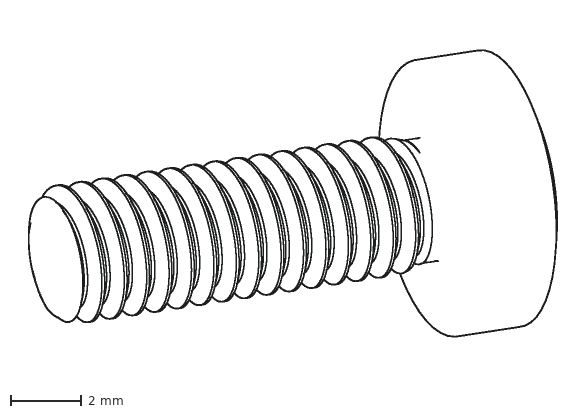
import cadquery as cq
import math

total_length = 15.06
shank_length = 12.02
head_height = total_length - shank_length

head_radius = 8.0 / 2
head_rim_height = 2.03
head_edge_round = 0.06
slot_width = 0.7
slot_depth = 0.2

neck_radius = 1.78
neck_length = 0.71
neck_fillet = 0.2

pitch = 0.7
crest_radius = 2.0
root_radius = 1.57
crest_flat = pitch / 8
flank_angle = math.radians(30)
runout_length = 0.75
tip_radius = 1.72
tip_chamfer_length = 0.42
tip_edge_round = 0.18
tip_cone_height = 0.03
groove_start = 0.25
groove_start_angle = 290.0
groove_overshoot = 0.05


def dome_radius():
    """Sphere radius through the rim edge and the inner corners of the crossed slots."""
    corner_radius = slot_width / math.sqrt(2)
    rise = head_height - head_rim_height
    center = (rise**2 + corner_radius**2 - head_radius**2) / (2 * rise)
    return math.hypot(head_radius, center)


def make_head():
    sphere_radius = dome_radius()
    sphere_center = head_rim_height - math.sqrt(sphere_radius**2 - head_radius**2)
    apex = sphere_center + sphere_radius
    mid_radius = head_radius / 2
    mid_height = sphere_center + math.sqrt(sphere_radius**2 - mid_radius**2)
    head = (
        cq.Workplane("XY")
        .moveTo(0, 0)
        .lineTo(head_radius, 0)
        .lineTo(head_radius, head_rim_height)
        .threePointArc((mid_radius, mid_height), (0, apex))
        .close()
        .revolve(360, (0, 0, 0), (0, 1, 0))
    )
    return head.faces("<Y").edges().fillet(head_edge_round)


def cut_crossed_slots(head):
    slot_length = 2 * head_radius
    slot_height = 2 * slot_depth
    for size_x, size_z in ((slot_length, slot_width), (slot_width, slot_length)):
        slot = cq.Workplane("XY").box(size_x, slot_height, size_z).translate((0, head_height, 0))
        head = head.cut(slot)
    return head


def make_neck():
    fillet_reach = neck_fillet * math.cos(math.radians(45))
    fillet_middle = (
        neck_radius + neck_fillet - fillet_reach,
        -neck_fillet + fillet_reach,
    )
    return (
        cq.Workplane("XY")
        .moveTo(0, 0)
        .lineTo(neck_radius + neck_fillet, 0)
        .threePointArc(fillet_middle, (neck_radius, -neck_fillet))
        .lineTo(neck_radius, -neck_length)
        .lineTo(0, -neck_length)
        .close()
        .revolve(360, (0, 0, 0), (0, 1, 0))
    )


def make_thread_blank():
    """Unthreaded rod: cone growing from the neck, crest cylinder, tip chamfer and flat end cone."""
    rod = (
        cq.Workplane("XY")
        .moveTo(0, -neck_length)
        .lineTo(neck_radius, -neck_length)
        .lineTo(crest_radius, -neck_length - runout_length)
        .lineTo(crest_radius, -shank_length + tip_chamfer_length)
        .lineTo(tip_radius, -shank_length + tip_cone_height)
        .lineTo(0, -shank_length)
        .close()
        .revolve(360, (0, 0, 0), (0, 1, 0))
    )
    tip_edge = cq.selectors.RadiusNthSelector(0)
    return rod.edges("%CIRCLE").edges(tip_edge).fillet(tip_edge_round)


def make_groove_turn():
    """One turn of the helical cutter, built along Z and then turned onto the screw axis."""
    outer_radius = crest_radius + groove_overshoot
    outer_half = (pitch - crest_flat) / 2 + groove_overshoot * math.tan(flank_angle)
    root_half = outer_half - (outer_radius - root_radius) * math.tan(flank_angle)
    corners = [
        (root_radius, -root_half),
        (outer_radius, -outer_half),
        (outer_radius, outer_half),
        (root_radius, root_half),
    ]
    helices = [
        cq.Wire.makeHelix(pitch, pitch, radius, cq.Vector(0, 0, height))
        for radius, height in corners
    ]
    faces = []
    for index, helix in enumerate(helices):
        band = cq.Face.makeRuledSurface(helices[index - 1], helix)
        faces.extend(band.Faces())
    start_outline = cq.Wire.makePolygon([helix.startPoint() for helix in helices], close=True)
    end_outline = cq.Wire.makePolygon([helix.endPoint() for helix in helices], close=True)
    faces.append(cq.Face.makeFromWires(start_outline))
    faces.append(cq.Face.makeFromWires(end_outline))
    turn = cq.Solid.makeSolid(cq.Shell.makeShell(faces))
    return (
        cq.Workplane(obj=turn)
        .rotate((0, 0, 0), (0, 0, 1), groove_start_angle)
        .rotate((0, 0, 0), (1, 0, 0), 90)
        .translate((0, -groove_start, 0))
    )


def cut_thread(blank):
    """Cut the groove turn by turn; the last turn runs out past the tip."""
    first_turn = make_groove_turn()
    turn_count = math.ceil((shank_length - groove_start) / pitch) + 1
    threaded = blank
    for index in range(turn_count):
        threaded = threaded.cut(first_turn.translate((0, -index * pitch, 0)))
    return threaded


head = cut_crossed_slots(make_head())
threaded_rod = cut_thread(make_thread_blank())
result = head.union(make_neck()).union(threaded_rod)